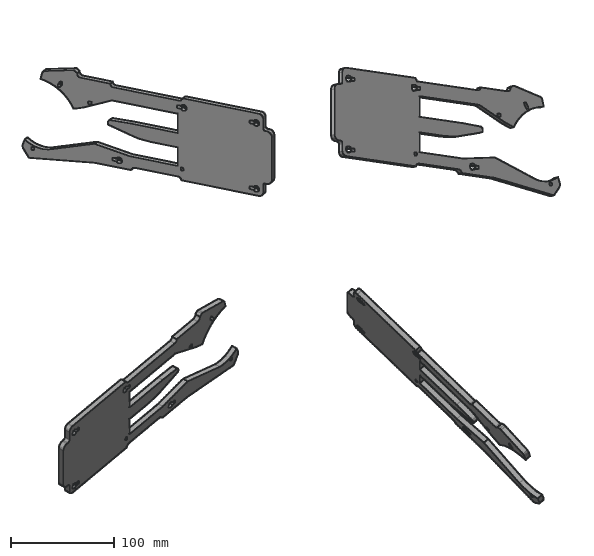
import cadquery as cq
import math

length = 268.5
height = 102.5
thickness = 6.0

palm_top = 96.0
palm_bottom = 8.9
palm_right = 259.0
palm_corner_radius = 4.5
tab_top = 79.2
tab_bottom = 23.4
tab_corner_radius = 5.5
tab_root_radius = 2.5

step = 3.2
arm_top = palm_top - step
arm_bottom = palm_bottom + step
slot_end = 167.0
upper_arm_inside = 78.7
lower_arm_inside = tab_bottom
finger_top = 58.3
finger_bottom = 43.0

slot_width = 3.0
pin_diameter = 3.2
pin_centers = [(11.0, 10.7), (171.8, 21.0)]
keyhole_diameter = 6.2
keyhole_slot_width = 3.2
keyhole_reach = 7.2
keyhole_centers = [(104.0, 16.6), (173.5, 86.2), (251.5, 85.6), (251.5, 15.8)]
jaw_slots = [((39.2, 83.0), (41.3, 86.2)), ((72.0, 71.5), (73.0, 71.5))]


def plate_workplane():
    return cq.Workplane("XZ", origin=(0, thickness / 2, 0))


def outline():
    """Three-fingered outline, clockwise from the tip of the upper jaw."""
    profile = plate_workplane().moveTo(19.3, 86.2)

    profile = profile.lineTo(21.0, 92.5).threePointArc((21.7, 94.2), (23.4, 95.3))
    profile = profile.lineTo(53.7, height - 0.3).threePointArc((54.8, height), (55.8, height - 0.3))
    profile = profile.lineTo(58.8, 100.1)
    profile = profile.threePointArc((60.0, 97.2), (62.0, palm_top))
    profile = profile.lineTo(94.5, palm_top).threePointArc((95.3, 94.0), (97.5, arm_top))
    profile = profile.lineTo(170.2, arm_top).threePointArc((171.0, 94.5), (172.6, palm_top))

    profile = profile.lineTo(palm_right, palm_top).lineTo(palm_right, tab_top)
    profile = profile.lineTo(length, tab_top).lineTo(length, tab_bottom)
    profile = profile.lineTo(palm_right, tab_bottom).lineTo(palm_right, palm_bottom)

    profile = profile.lineTo(171.0, palm_bottom).threePointArc((170.0, 11.0), (167.5, arm_bottom))
    profile = profile.lineTo(121.0, arm_bottom).threePointArc((118.5, 11.0), (116.8, palm_bottom))
    profile = profile.lineTo(78.0, palm_bottom).lineTo(7.0, 0)
    profile = profile.lineTo(0.5, 9.0).threePointArc((0, 11.3), (0.3, 13.5))
    profile = profile.lineTo(2.5, 18.8).threePointArc((14.5, 13.2), (28.5, 13.2))
    profile = profile.lineTo(77.5, 29.0).lineTo(115.7, lower_arm_inside)
    profile = profile.lineTo(slot_end, lower_arm_inside)

    profile = profile.lineTo(slot_end, finger_bottom).lineTo(138.3, finger_bottom)
    profile = profile.lineTo(126.2, 43.8).lineTo(120.5, 44.8).lineTo(92.4, 52.0)
    profile = profile.threePointArc((92.0, 55.5), (94.5, 57.5))
    profile = profile.lineTo(116.0, finger_top).lineTo(slot_end, finger_top)

    profile = profile.lineTo(slot_end, upper_arm_inside).lineTo(96.5, upper_arm_inside)
    profile = profile.lineTo(65.5, 65.0).lineTo(55.0, 61.5)
    return profile.threePointArc((40.5, 78.0), (19.3, 86.2)).close()


def round_edge(body, x, z, radius):
    """Round the through-thickness edge at (x, z)."""
    return body.edges(cq.selectors.NearestToPointSelector((x, 0, z))).fillet(radius)


def slot_cutter(start, end, width):
    """Round-ended slot between two end centers."""
    run = end[0] - start[0]
    rise = end[1] - start[1]
    middle = ((start[0] + end[0]) / 2, (start[1] + end[1]) / 2)
    angle = math.degrees(math.atan2(rise, run))
    overall = math.hypot(run, rise) + width
    return plate_workplane().center(*middle).slot2D(overall, width, angle).extrude(thickness)


def round_cutter(center, diameter):
    return plate_workplane().center(*center).circle(diameter / 2).extrude(thickness)


def keyhole_cutter(center):
    """Round opening with a narrow slot toward -X."""
    slot_center = (center[0] - keyhole_reach + keyhole_slot_width / 2, center[1])
    slot = slot_cutter(slot_center, center, keyhole_slot_width)
    return round_cutter(center, keyhole_diameter).union(slot)


result = outline().extrude(thickness)

for palm_z, tab_z in [(palm_top, tab_top), (palm_bottom, tab_bottom)]:
    result = round_edge(result, palm_right, palm_z, palm_corner_radius)
    result = round_edge(result, palm_right, tab_z, tab_root_radius)
    result = round_edge(result, length, tab_z, tab_corner_radius)

for pin_center in pin_centers:
    result = result.cut(round_cutter(pin_center, pin_diameter))
for keyhole_center in keyhole_centers:
    result = result.cut(keyhole_cutter(keyhole_center))
for slot_start, slot_finish in jaw_slots:
    result = result.cut(slot_cutter(slot_start, slot_finish, slot_width))